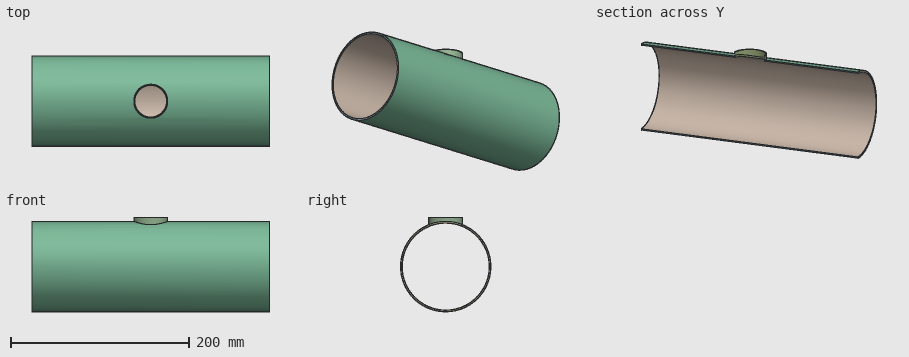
import cadquery as cq

pipe_length = 266.8
pipe_outer_diameter = 101.6
pipe_bore_diameter = 97.6

branch_outer_diameter = 38.1
branch_bore_diameter = 35.7
overall_height = 106.0

pipe_outer_radius = pipe_outer_diameter / 2
branch_top = overall_height - pipe_outer_radius


def pipe_cylinder(diameter):
    """Full-length cylinder on the pipe axis."""
    return cq.Workplane("YZ").circle(diameter / 2).extrude(pipe_length / 2, both=True)


def branch_cylinder(diameter):
    """Cylinder on the branch axis, from the pipe axis up to the branch rim."""
    return cq.Workplane("XY").circle(diameter / 2).extrude(branch_top)


outer_body = pipe_cylinder(pipe_outer_diameter).union(branch_cylinder(branch_outer_diameter))
pipe_bore = pipe_cylinder(pipe_bore_diameter)
branch_bore = branch_cylinder(branch_bore_diameter)

result = outer_body.cut(pipe_bore).cut(branch_bore)